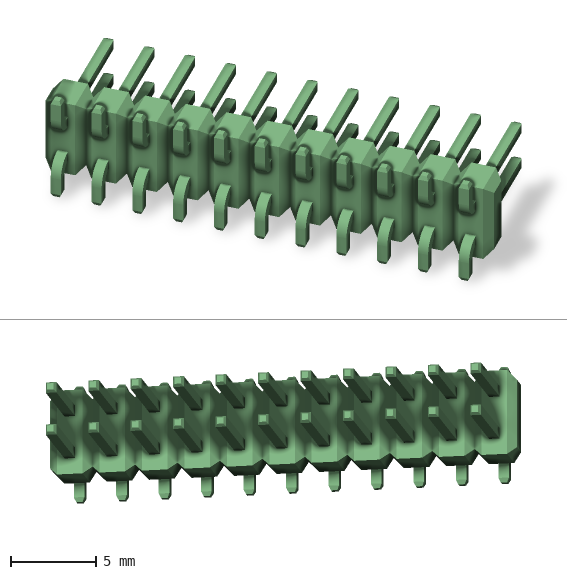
import cadquery as cq
import math

pitch = 2.54
columns = 11

body_depth = 2.286
body_height = 2 * pitch
body_chamfer = pitch / 5

pin_width = 0.635
overall_height = 6.985
straight_length = 6.096
leg_reach = 1.27
bend_inner_radius = 0.508
tip_length = 0.254
tip_inset = 0.127

body_front = -body_depth / 2
body_back = body_depth / 2
row_height = pitch / 2
pin_end = body_back + straight_length - tip_length
leg_face = body_front - leg_reach
leg_end = overall_height / 2 - tip_length
half_pin = pin_width / 2
bend_outer_radius = bend_inner_radius + pin_width
bend_center_y = leg_face + bend_outer_radius
bend_center_z = row_height - half_pin + bend_outer_radius
tip_taper = math.degrees(math.atan(tip_inset / tip_length))


def make_body_cell():
    """One pitch of the body, chamfered all round both X end faces."""
    cell = cq.Workplane("XY").box(pitch, body_depth, body_height)
    return cell.faces("<X or >X").chamfer(body_chamfer)


def add_tapered_tip(pin, end_face):
    """Extend the square end face of a pin into a blunt pyramid."""
    end_plane = pin.faces(end_face).workplane(centerOption="CenterOfMass")
    return end_plane.rect(pin_width, pin_width).extrude(tip_length, taper=tip_taper)


def make_upper_pin():
    """Straight pin towards +Y, bent at -Y into a leg pointing up."""
    bend_cos = math.cos(math.pi / 4)
    outer_mid = (
        bend_center_y - bend_outer_radius * bend_cos,
        bend_center_z - bend_outer_radius * bend_cos,
    )
    inner_mid = (
        bend_center_y - bend_inner_radius * bend_cos,
        bend_center_z - bend_inner_radius * bend_cos,
    )
    pin = (
        cq.Workplane("YZ")
        .moveTo(pin_end, row_height - half_pin)
        .lineTo(bend_center_y, row_height - half_pin)
        .threePointArc(outer_mid, (leg_face, bend_center_z))
        .lineTo(leg_face, leg_end)
        .lineTo(leg_face + pin_width, leg_end)
        .lineTo(leg_face + pin_width, bend_center_z)
        .threePointArc(inner_mid, (bend_center_y, row_height + half_pin))
        .lineTo(pin_end, row_height + half_pin)
        .close()
        .extrude(half_pin, both=True)
    )
    pin = add_tapered_tip(pin, ">Y")
    return add_tapered_tip(pin, ">Z")


def make_column():
    """One body cell with its upper pin and the mirrored lower pin."""
    upper_pin = make_upper_pin()
    lower_pin = upper_pin.mirror("XY")
    return make_body_cell().union(upper_pin).union(lower_pin)


column = make_column()
first_column_x = -(columns - 1) * pitch / 2
result = column.translate((first_column_x, 0, 0))
for index in range(1, columns):
    result = result.union(column.translate((first_column_x + index * pitch, 0, 0)))